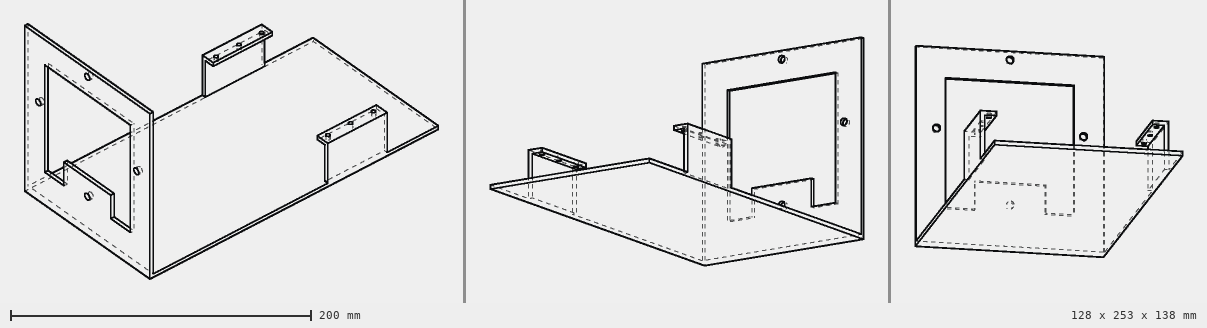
import cadquery as cq

width = 128.0
depth = 253.0
height = 138.0
sheet = 3.0

window_center_x = 0.25
window_width = 87.25
window_bottom = 27.5
window_height = 89.5
tab_width = 48.0
tab_height = 19.5

panel_hole_diameter = 5.0
panel_hole_radius = 50.0
panel_hole_center_z = 82.0

bracket_length = 52.0
bracket_back_gap = 45.0
bracket_top = 36.25
bracket_wall = 3.0
flange_width = 11.0
flange_thickness = 3.0
flange_hole_diameter = 3.0
flange_hole_pitch = 20.0
flange_hole_inset = 7.0

bracket_center_y = depth - bracket_back_gap - bracket_length / 2


def block(size, center_x, center_y, bottom_z):
    """Box of the given (x, y, z) size standing on bottom_z."""
    return cq.Workplane("XY", origin=(center_x, center_y, bottom_z)).box(*size, centered=(True, True, False))


def make_front_panel():
    panel = block((width, sheet, height), 0, sheet / 2, 0)
    window = block((window_width, sheet, window_height), window_center_x, sheet / 2, window_bottom)
    tab = block((tab_width, sheet, tab_height), 0, sheet / 2, window_bottom)
    holes = (
        cq.Workplane("XZ", origin=(0, 0, panel_hole_center_z))
        .polarArray(panel_hole_radius, 0, 360, 4)
        .circle(panel_hole_diameter / 2)
        .extrude(-sheet)
    )
    return panel.cut(window).union(tab).cut(holes)


def make_bracket(side):
    """Bracket along one edge of the base; side is -1 for the -X edge and +1 for the +X edge."""
    edge_x = side * width / 2
    wall = block(
        (bracket_wall, bracket_length, bracket_top),
        edge_x - side * bracket_wall / 2,
        bracket_center_y,
        0,
    )
    flange_bottom = bracket_top - flange_thickness
    flange = block(
        (flange_width, bracket_length, flange_thickness),
        edge_x - side * flange_width / 2,
        bracket_center_y,
        flange_bottom,
    )
    hole_x = edge_x - side * flange_hole_inset
    holes = (
        cq.Workplane("XY", origin=(hole_x, bracket_center_y, flange_bottom))
        .rarray(1, flange_hole_pitch, 1, 3)
        .circle(flange_hole_diameter / 2)
        .extrude(flange_thickness)
    )
    return wall.union(flange).cut(holes)


base = block((width, depth, sheet), 0, depth / 2, 0)
result = base.union(make_front_panel())
for side in (-1, 1):
    result = result.union(make_bracket(side))